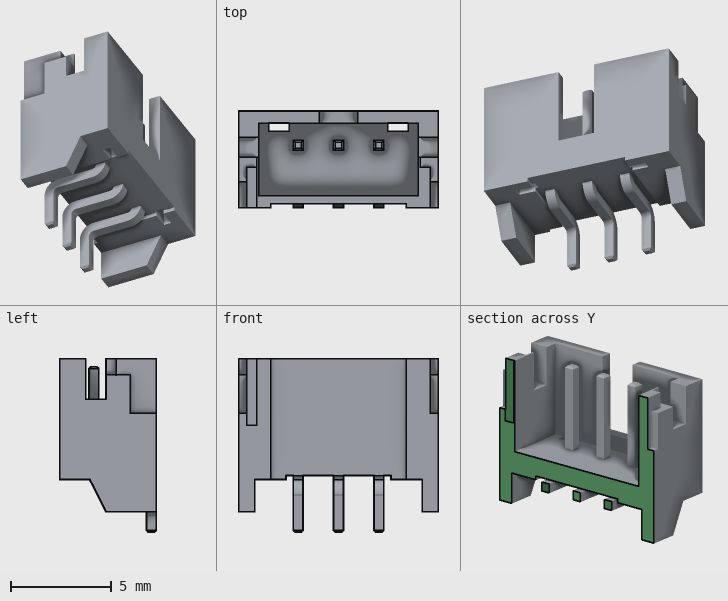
import cadquery as cq


width = 9.9
depth = 4.8
height = 7.6
base_height = 1.6
floor_thickness = 1.2
end_wall = 1.0
back_wall = 0.6
front_wall = 0.6
half_width = width / 2
back_y = depth / 2
front_y = -depth / 2
floor_z = base_height + floor_thickness
cavity_width = width - 2 * end_wall

foot_width = 0.8
foot_top_setback = 1.5
foot_bottom_setback = 2.3
foot_slope_top_y = back_y - foot_top_setback
foot_slope_bottom_y = back_y - foot_bottom_setback

front_recess_width = 6.7
front_recess_depth = 0.2
under_recess_width = 5.2
under_recess_depth = 0.2

back_gap_width = 1.9
back_gap_depth = 4.0
window_width = 1.0
window_depth = 0.4
window_offset = 2.95
end_slot_setback = 1.3
end_slot_width = 1.0
end_slot_back_y = back_y - end_slot_setback
end_slot_front_y = end_slot_back_y - end_slot_width
end_slot_depth = 2.0

relief_depth = 0.4
corner_depth = 0.9
corner_length = 0.5
corner_front_y = end_slot_front_y - corner_length
relief_back_length = 1.2
relief_step_y = end_slot_front_y - relief_back_length
relief_back_height = 0.8
relief_front_height = 2.7

plate_thickness = corner_depth - relief_depth
plate_height = 3.3

pin_count = 3
pin_pitch = 2.0
pin_size = 0.5
pin_chamfer = 0.1
pin_bend_radius = 0.5
pin_mating_y = 0.7
pin_tail_y = front_y + pin_size / 2
pin_tip_drop = 0.4
pin_tip_z = height - pin_tip_drop
pin_tail_z = -1.0
pin_run_z = base_height - pin_size / 2


def block(x_range, y_range, z_range):
    """Box between two limits along each axis."""
    size = [high - low for low, high in (x_range, y_range, z_range)]
    corner = (x_range[0], y_range[0], z_range[0])
    return cq.Workplane("XY").box(*size, centered=False).translate(corner)


def centred_span(length, middle=0.0):
    return (middle - length / 2, middle + length / 2)


def end_span(side, inward):
    """X limits of a region reaching inward from the left (-1) or right (+1) end face."""
    return tuple(sorted((side * half_width, side * (half_width - inward))))


def make_foot(side):
    """Leg under one end wall, with a sloped back edge."""
    inner_x = end_span(side, foot_width)[0]
    outline = [
        (front_y, 0),
        (foot_slope_bottom_y, 0),
        (foot_slope_top_y, base_height),
        (foot_slope_top_y, floor_z),
        (front_y, floor_z),
    ]
    return cq.Workplane("YZ", origin=(inner_x, 0, 0)).polyline(outline).close().extrude(foot_width)


def make_end_relief(side):
    """Stepped material removed from the outside of one end wall."""
    back_step = block(
        end_span(side, relief_depth),
        (relief_step_y, end_slot_front_y),
        (height - relief_back_height, height),
    )
    front_step = block(
        end_span(side, relief_depth),
        (front_y, relief_step_y),
        (height - relief_front_height, height),
    )
    corner = block(
        end_span(side, corner_depth),
        (corner_front_y, end_slot_front_y),
        (height - relief_back_height, height),
    )
    return back_step.union(front_step).union(corner)


def make_housing():
    full_width = centred_span(width)
    full_depth = centred_span(depth)
    body = block(full_width, full_depth, (base_height, height))
    for side in (-1, 1):
        body = body.union(make_foot(side))

    cavity_depth = (front_y + front_wall, back_y - back_wall)
    body = body.cut(block(centred_span(cavity_width), cavity_depth, (floor_z, height)))

    front_recess_y = (front_y, front_y + front_recess_depth)
    body = body.cut(block(centred_span(front_recess_width), front_recess_y, (base_height, height)))
    under_recess_z = (base_height, base_height + under_recess_depth)
    body = body.cut(block(centred_span(under_recess_width), full_depth, under_recess_z))

    gap_y = (back_y - back_wall, back_y)
    body = body.cut(block(centred_span(back_gap_width), gap_y, (height - back_gap_depth, height)))

    end_slot_y = (end_slot_front_y, end_slot_back_y)
    body = body.cut(block(full_width, end_slot_y, (height - end_slot_depth, height)))

    window_y = (back_y - back_wall - window_depth, back_y - back_wall)
    for side in (-1, 1):
        window_x = centred_span(window_width, side * window_offset)
        body = body.cut(block(window_x, window_y, (base_height, floor_z)))
        body = body.cut(make_end_relief(side))
    return body


def make_side_plate():
    """Flat plate let into the left end wall, flush with its top and front."""
    left_x = -half_width + relief_depth
    return block(
        (left_x, left_x + plate_thickness),
        (front_y, corner_front_y),
        (height - plate_height, height),
    )


def make_pin(x):
    """Square wire: up through the floor, forward under the housing, then down."""
    radius = pin_bend_radius
    path = (
        cq.Workplane("YZ", origin=(x, 0, 0))
        .moveTo(pin_mating_y, pin_tip_z)
        .lineTo(pin_mating_y, pin_run_z + radius)
        .tangentArcPoint((pin_mating_y - radius, pin_run_z), relative=False)
        .lineTo(pin_tail_y + radius, pin_run_z)
        .tangentArcPoint((pin_tail_y, pin_run_z - radius), relative=False)
        .lineTo(pin_tail_y, pin_tail_z)
    )
    section = cq.Workplane("XY", origin=(x, pin_mating_y, pin_tip_z)).rect(pin_size, pin_size)
    pin = section.sweep(path)
    return pin.faces(">Z or <Z").chamfer(pin_chamfer)


pins = [make_pin((index - (pin_count - 1) / 2) * pin_pitch) for index in range(pin_count)]
side_plate = make_side_plate()
housing = make_housing().cut(side_plate)
for pin in pins:
    housing = housing.cut(pin)

bodies = [housing, side_plate, *pins]
result = cq.Compound.makeCompound([body.solids().val() for body in bodies])